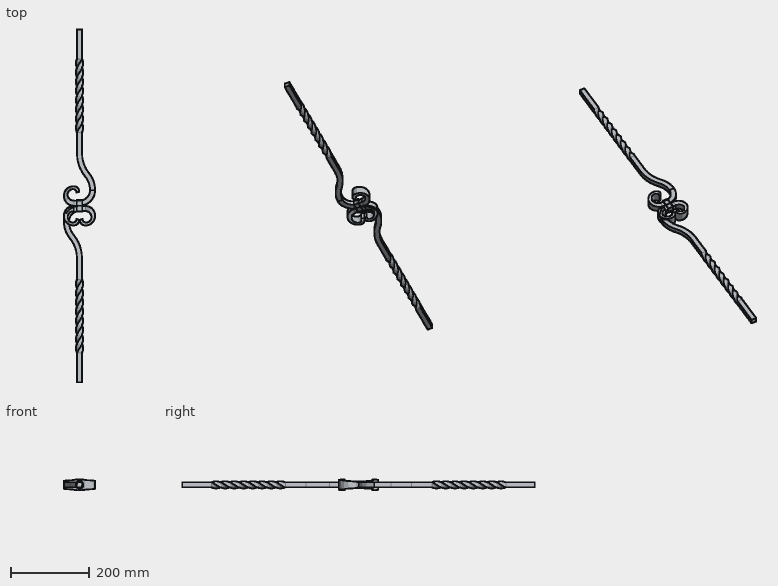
import cadquery as cq
import math

half_length = 450.0
bar_width = 13.5
half_bar = bar_width / 2
half_turn = 180
quarter_turn = 90

hook_radius = 33.0
hook_center_y = half_bar + hook_radius

twist_outer_y = 375.0
twist_inner_y = 187.0
twist_angle = 720.0
bend_start_y = 134.0
lower_bend_radius = 61.0

curl_outer_radii = (25.0, 25.0, 14.0)
curl_inner_radii = (15.0, 13.5, 9.0)
stub_length = hook_radius + half_bar - curl_outer_radii[0]
curl_flare_height = 28.0
curl_tip_height = 22.0
flare_turn = 240
flare_power = 0.8
curl_turn = 270
section_step = 10

collar_length = 13.5
collar_wall = 2.0


def turned_copies(body):
    """The body and its copy half a turn round the Z axis."""
    return [body.rotate((0, 0, 0), (0, 0, 1), angle) for angle in (0, half_turn)]


def square_section(x, y):
    """Square bar section across Y at a centreline point; extruding it runs towards -Y."""
    return cq.Workplane("XZ", origin=(x, y, 0)).rect(bar_width, bar_width)


def make_upper_bar():
    """Straight end, twisted stretch, then an S bend that steps sideways to the hook."""
    straight_end = square_section(0, half_length).extrude(half_length - twist_outer_y)
    twist = square_section(0, twist_outer_y).twistExtrude(twist_outer_y - twist_inner_y, twist_angle)

    bend_drop = bend_start_y - hook_center_y
    bend_angle = 2 * math.atan2(hook_radius, bend_drop)
    bend_middle = (
        hook_radius - lower_bend_radius * (1 - math.cos(bend_angle)),
        hook_center_y + lower_bend_radius * math.sin(bend_angle),
    )
    centreline = (
        cq.Workplane("XY")
        .moveTo(0, twist_inner_y)
        .lineTo(0, bend_start_y)
        .tangentArcPoint(bend_middle, relative=False)
        .tangentArcPoint((hook_radius, hook_center_y), relative=False)
    )
    bend = square_section(0, twist_inner_y).sweep(centreline)
    return straight_end.union(twist).union(bend)


def edge_point(turn, radii, start_y):
    """Point on one edge of the curl: quarter arcs, each tangent to the one before."""
    center_x = -stub_length
    center_y = start_y + radii[0]
    radius = radii[0]
    if turn > quarter_turn:
        center_x -= radius - radii[1]
        radius = radii[1]
    if turn > half_turn:
        center_y += radius - radii[2]
        radius = radii[2]
    angle = math.radians(turn)
    return center_x - radius * math.sin(angle), center_y - radius * math.cos(angle)


def curl_height(turn):
    """Strap height: a flare from the bar width that eases out, then a rounded drop to the tip."""
    if turn <= flare_turn:
        flare_share = (turn / flare_turn) ** flare_power
        return bar_width + (curl_flare_height - bar_width) * flare_share
    past_flare = (turn - flare_turn) / (curl_turn - flare_turn)
    return curl_flare_height - (curl_flare_height - curl_tip_height) * past_flare**2


def make_upper_left_curl():
    """Loft upright rectangles around the curl."""
    sections = []
    for turn in range(0, curl_turn + 1, section_step):
        half_height = curl_height(turn) / 2
        outer = edge_point(turn, curl_outer_radii, 0)
        inner = edge_point(turn, curl_inner_radii, bar_width)
        corners = [
            cq.Vector(*outer, -half_height),
            cq.Vector(*outer, half_height),
            cq.Vector(*inner, half_height),
            cq.Vector(*inner, -half_height),
        ]
        sections.append(cq.Wire.makePolygon(corners, close=True))
    return cq.Workplane(obj=cq.Solid.makeLoft(sections))


def make_upper_scroll(curl):
    """Hook from the end of the upper bar, stub through the collar, then the curl."""
    centreline = (
        cq.Workplane("XY")
        .moveTo(hook_radius, hook_center_y)
        .radiusArc((0, half_bar), hook_radius)
        .lineTo(-stub_length, half_bar)
    )
    hook = square_section(hook_radius, hook_center_y).sweep(centreline)
    return hook.union(curl)


def make_collar(scrolls):
    """Band around the two stubs, with a hole that fits them."""
    band = cq.Workplane("XY").box(
        collar_length,
        2 * (bar_width + collar_wall),
        bar_width + 2 * collar_wall,
    )
    for scroll in scrolls:
        band = band.cut(scroll)
    return band


bars = turned_copies(make_upper_bar())
curl = make_upper_left_curl()
scrolls = turned_copies(make_upper_scroll(curl))

lower_left_curl = curl.mirror("XZ")
for body in (scrolls[1], bars[1]):
    lower_left_curl = lower_left_curl.cut(body)

collar = make_collar(scrolls)

result = cq.Compound.makeCompound(
    [
        *[bar.val() for bar in bars],
        *[scroll.val() for scroll in scrolls],
        lower_left_curl.val(),
        collar.val(),
    ]
)